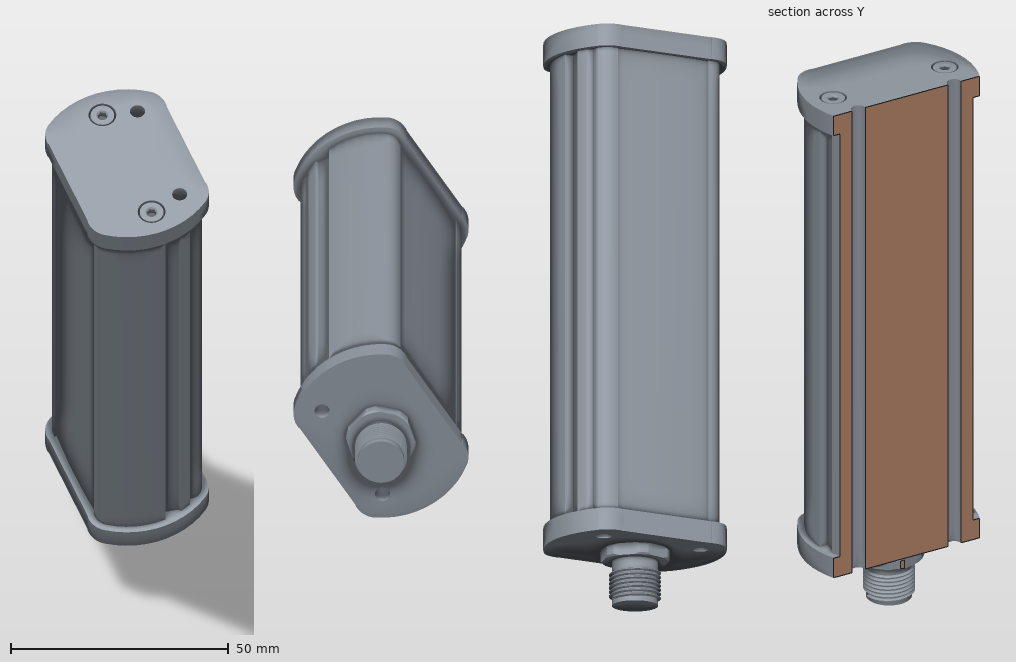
import cadquery as cq
import math

plate_width = 42.2
plate_depth = 29.4
total_height = 133.1

plate_thickness = 5.2
connector_length = 13.2
corner_radius = 5.3
housing_inset = 1.6
housing_bottom = connector_length + plate_thickness
housing_top = total_height - plate_thickness

panel_width = 24.0
plate_panel_recess = 0.1
housing_panel_recess = 0.5
panel_bulge = 0.4

side_radius = plate_width / 2 - housing_inset
straight_groove_start = 8.4
straight_groove_end = 11.0
straight_groove_drafts = (0.5, 0.5)
straight_groove_x = 16.2
sloped_groove_start = 1.6
sloped_groove_end = 5.9
sloped_groove_drafts = (0, 0.5)
sloped_groove_inner_x = 17.3
sloped_groove_outer_x = 18.0

hole_x = 12.8
hole_y = 7.9
hole_diameter = 3.5
screw_x = 14.9
counterbore_diameter = 6.4
counterbore_depth = 3.2
screw_head_diameter = 5.5
screw_head_height = 3.0
socket_across_flats = 2.0
socket_depth = 1.7
socket_mouth_diameter = 2.8
socket_mouth_depth = 0.4

nut_height = 2.8
nut_across_flats = 14.9
nut_corner_diameter = 16.1
nut_chamfer = 0.4
nut_turn = 15.0
connector_core_diameter = 10.6
thread_diameter = 12.0
thread_pitch = 1.0
thread_start = 1.3
thread_turns = 6.8
thread_root_overlap = 0.3
thread_crest_width = 0.1
thread_base_width = 0.87


def barrel(inset, panel_recess, bulge, bottom, top):
    """Round bar with two flats, rounded corners and a recessed panel on each flat."""
    half_depth = plate_depth / 2 - inset
    height = top - bottom
    bar = cq.Workplane().workplane(offset=bottom).circle(plate_width / 2 - inset).extrude(height)
    slab = cq.Workplane().workplane(offset=bottom).rect(plate_width, 2 * half_depth).extrude(height)
    body = bar.intersect(slab).edges("|Z").fillet(corner_radius - inset)

    panel_edge = half_depth - panel_recess
    outline = (
        cq.Workplane()
        .workplane(offset=bottom)
        .moveTo(-panel_width / 2, -plate_depth)
        .lineTo(-panel_width / 2, -panel_edge)
    )
    if bulge > 0:
        outline = outline.threePointArc((0, -panel_edge - bulge), (panel_width / 2, -panel_edge))
    else:
        outline = outline.lineTo(panel_width / 2, -panel_edge)
    recess = outline.lineTo(panel_width / 2, -plate_depth).close().extrude(height)
    return body.cut(recess).cut(recess.mirror("XZ"))


def side_groove(start, end, drafts, floor_start_x, floor_end_x):
    """Groove along the -X side, each wall with its own draft, running out past the curved side."""
    start_x = math.sqrt(side_radius**2 - start**2)
    end_x = math.sqrt(side_radius**2 - end**2)
    points = [
        (-plate_width, start),
        (-start_x, start),
        (-floor_start_x, start + drafts[0]),
        (-floor_end_x, end - drafts[1]),
        (-end_x, end),
        (-plate_width, end),
    ]
    return (
        cq.Workplane()
        .workplane(offset=housing_bottom)
        .polyline(points)
        .close()
        .extrude(housing_top - housing_bottom)
    )


def housing():
    body = barrel(housing_inset, housing_panel_recess, panel_bulge, housing_bottom, housing_top)
    grooves = [
        side_groove(
            straight_groove_start,
            straight_groove_end,
            straight_groove_drafts,
            straight_groove_x,
            straight_groove_x,
        ),
        side_groove(
            sloped_groove_start,
            sloped_groove_end,
            sloped_groove_drafts,
            sloped_groove_inner_x,
            sloped_groove_outer_x,
        ),
    ]
    for groove in grooves:
        body = body.cut(groove).cut(groove.mirror("YZ"))
    return body


def end_plate(bottom):
    return barrel(0, plate_panel_recess, 0, bottom, bottom + plate_thickness)


def hexagon(across_flats):
    return across_flats / math.cos(math.pi / 6)


def screw_head():
    """Socket head on the Z axis, its hexagon opened by a conical mouth."""
    floor = total_height - counterbore_depth
    top = floor + screw_head_height
    head = cq.Workplane().workplane(offset=floor).circle(screw_head_diameter / 2).extrude(screw_head_height)
    socket = (
        cq.Workplane()
        .workplane(offset=top - socket_depth)
        .polygon(6, hexagon(socket_across_flats))
        .extrude(socket_depth)
    )
    mouth = cq.Solid.makeCone(
        socket_across_flats / 2,
        socket_mouth_diameter / 2,
        socket_mouth_depth,
        pnt=cq.Vector(0, 0, top - socket_mouth_depth),
    )
    return head.cut(socket).cut(cq.Workplane(mouth))


def nut():
    """Hexagon with its corners turned down to a chamfered cylinder."""
    bottom = connector_length - nut_height
    prism = (
        cq.Workplane()
        .workplane(offset=bottom)
        .polygon(6, hexagon(nut_across_flats))
        .extrude(nut_height)
        .rotate((0, 0, 0), (0, 0, 1), nut_turn)
    )
    turned = (
        cq.Workplane()
        .workplane(offset=bottom)
        .circle(nut_corner_diameter / 2)
        .extrude(nut_height)
        .edges()
        .chamfer(nut_chamfer)
    )
    return prism.intersect(turned)


def thread():
    """Helical ridge that bites slightly into the connector core."""
    root = connector_core_diameter / 2 - thread_root_overlap
    crest = thread_diameter / 2
    helix = cq.Wire.makeHelix(thread_pitch, thread_pitch * thread_turns, root)
    ridge = (
        cq.Workplane("XZ")
        .polyline(
            [
                (root, -thread_base_width / 2),
                (crest, -thread_crest_width / 2),
                (crest, thread_crest_width / 2),
                (root, thread_base_width / 2),
            ]
        )
        .close()
        .sweep(cq.Workplane(helix), isFrenet=True)
    )
    return ridge.translate((0, 0, thread_start))


def connector():
    core = cq.Workplane().circle(connector_core_diameter / 2).extrude(connector_length)
    return core.union(nut()).union(thread())


shell = end_plate(connector_length).union(housing()).union(end_plate(total_height - plate_thickness))

through_holes = (
    cq.Workplane()
    .pushPoints([(-hole_x, hole_y), (hole_x, hole_y)])
    .circle(hole_diameter / 2)
    .extrude(total_height)
)
counterbores = (
    cq.Workplane()
    .workplane(offset=total_height - counterbore_depth)
    .pushPoints([(-screw_x, 0), (screw_x, 0)])
    .circle(counterbore_diameter / 2)
    .extrude(counterbore_depth)
)

result = shell.cut(through_holes).cut(counterbores).union(connector())
for x in (-screw_x, screw_x):
    result = result.union(screw_head().translate((x, 0, 0)))